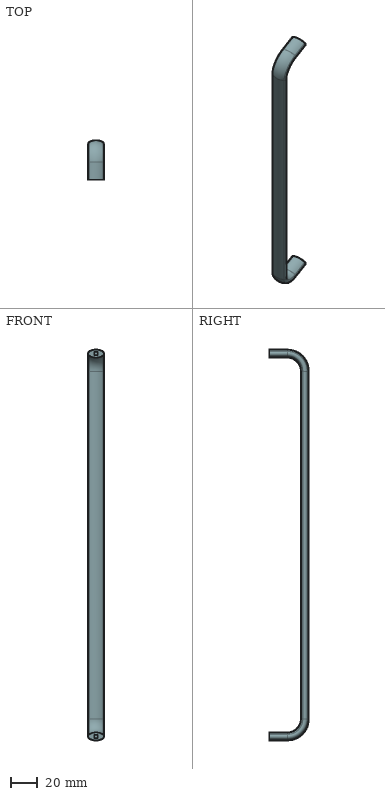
import cadquery as cq
import math

width = 12.0
depth = 30.0
height = 294.0

thickness = 6.2
crown_radius = 10.0
bend_radius = 13.2

hole_diameter = 3.0
hole_depth = 8.8

half_width = width / 2
half_thickness = thickness / 2
end_y = -depth / 2
grip_y = depth / 2 - half_thickness
leg_z = height / 2 - half_thickness


def bar_section(workplane):
    """Draw the closed crowned section on a workplane centred on the bar."""
    crown_drop = crown_radius - half_thickness
    side_radius = (crown_radius**2 - half_width**2 - crown_drop**2) / (2 * (crown_radius - half_width))
    side_centre = half_width - side_radius
    centre_distance = math.hypot(side_centre, crown_drop)
    join_x = side_centre * crown_radius / centre_distance
    join_y = side_radius * crown_drop / centre_distance
    return (
        workplane.moveTo(-join_x, join_y)
        .threePointArc((0, half_thickness), (join_x, join_y))
        .threePointArc((half_width, 0), (join_x, -join_y))
        .threePointArc((0, -half_thickness), (-join_x, -join_y))
        .threePointArc((-half_width, 0), (-join_x, join_y))
        .close()
    )


def handle_path():
    """Centreline in the YZ plane: leg, bend, grip, bend, leg."""
    bend_y = grip_y - bend_radius
    bend_z = leg_z - bend_radius
    bend_reach = bend_radius * math.sqrt(0.5)
    return (
        cq.Workplane("YZ")
        .moveTo(end_y, -leg_z)
        .lineTo(bend_y, -leg_z)
        .threePointArc((bend_y + bend_reach, -bend_z - bend_reach), (grip_y, -bend_z))
        .lineTo(grip_y, bend_z)
        .threePointArc((bend_y + bend_reach, bend_z + bend_reach), (bend_y, leg_z))
        .lineTo(end_y, leg_z)
    )


def fixing_hole(z):
    """Cylinder running from a leg's end face into the leg."""
    return (
        cq.Workplane("XZ", origin=(0, end_y, z))
        .circle(hole_diameter / 2)
        .extrude(-hole_depth)
    )


lower_end = cq.Workplane("XZ", origin=(0, end_y, -leg_z))
result = bar_section(lower_end).sweep(handle_path())
for hole_z in (-leg_z, leg_z):
    result = result.cut(fixing_hole(hole_z))